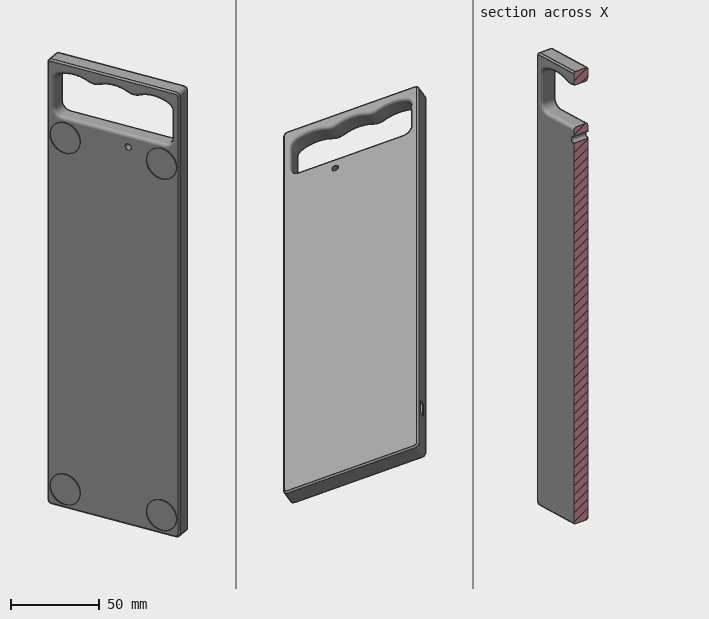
import cadquery as cq
import math

width = 85.6
thickness = 10.5
height = 285.5
corner_radius = 2.9
edge_chamfer = 1.0
front_y = -thickness / 2

opening_half_width = 38.0
opening_floor_z = 107.5
opening_top_z = 136.2
opening_corner_radius = 5.0
opening_fillet = 2.0
finger_radius = 22.8
finger_spacing = 25.7
ridge_radius = 8.5

pad_diameter = 19.5
pad_depth = 0.43
pad_x = 31.0
upper_pad_z = 94.8
lower_pad_z = -130.8

pin_hole_diameter = 4.0
pin_hole_x = 9.7
pin_hole_z = 100.0

switch_y = 0.5
switch_z = -109.3
switch_width = 3.7
switch_height = 9.5
switch_depth = 5.7
shelf_depth = 0.3
shelf_width = 0.9
switch_corner_radius = 0.77
knob_radius = 2.0
knob_z = switch_z + switch_height / 2 - knob_radius


def make_plate():
    """Plate standing in the XZ plane, with rounded corners and chamfered rims."""
    plate = cq.Workplane("XY").box(width, thickness, height)
    plate = plate.edges("|Y").fillet(corner_radius)
    return plate.faces("<Y or >Y").edges().chamfer(edge_chamfer)


def opening_outline():
    """Handle opening: flat floor, rounded corners and three finger scallops above."""
    finger_center_z = opening_top_z - finger_radius
    ridge_center_z = finger_center_z + math.sqrt(
        (finger_radius + ridge_radius) ** 2 - (finger_spacing / 2) ** 2
    )
    ridge_bottom_z = ridge_center_z - ridge_radius

    blend_share = finger_radius / (finger_radius + ridge_radius)
    blend_x = finger_spacing / 2 * blend_share
    blend_z = finger_center_z + (ridge_center_z - finger_center_z) * blend_share

    corner_x = opening_half_width - opening_corner_radius
    center_distance = finger_radius - opening_corner_radius
    corner_z = finger_center_z + math.sqrt(center_distance**2 - (corner_x - finger_spacing) ** 2)
    scallop_angle = math.atan2(corner_z - finger_center_z, corner_x - finger_spacing)
    scallop_end_x = finger_spacing + finger_radius * math.cos(scallop_angle)
    scallop_end_z = finger_center_z + finger_radius * math.sin(scallop_angle)
    corner_mid_x = corner_x + opening_corner_radius * math.cos(scallop_angle / 2)
    corner_mid_z = corner_z + opening_corner_radius * math.sin(scallop_angle / 2)

    lower_z = opening_floor_z + opening_corner_radius
    diagonal = opening_corner_radius * math.sqrt(0.5)

    return (
        cq.Workplane("XZ", origin=(0, thickness / 2, 0))
        .moveTo(-corner_x, opening_floor_z)
        .lineTo(corner_x, opening_floor_z)
        .threePointArc((corner_x + diagonal, lower_z - diagonal), (opening_half_width, lower_z))
        .lineTo(opening_half_width, corner_z)
        .threePointArc((corner_mid_x, corner_mid_z), (scallop_end_x, scallop_end_z))
        .threePointArc((finger_spacing, opening_top_z), (finger_spacing - blend_x, blend_z))
        .threePointArc((finger_spacing / 2, ridge_bottom_z), (blend_x, blend_z))
        .threePointArc((0, opening_top_z), (-blend_x, blend_z))
        .threePointArc((-finger_spacing / 2, ridge_bottom_z), (blend_x - finger_spacing, blend_z))
        .threePointArc((-finger_spacing, opening_top_z), (-scallop_end_x, scallop_end_z))
        .threePointArc((-corner_mid_x, corner_mid_z), (-opening_half_width, corner_z))
        .lineTo(-opening_half_width, lower_z)
        .threePointArc((-corner_x - diagonal, lower_z - diagonal), (-corner_x, opening_floor_z))
        .close()
    )


def cut_opening(plate):
    """Cut the handle opening and round its rim on both faces."""
    plate = plate.cut(opening_outline().extrude(thickness))
    margin = opening_fillet / 2
    rim = cq.selectors.BoxSelector(
        (-opening_half_width - margin, -thickness, opening_floor_z - margin),
        (opening_half_width + margin, thickness, opening_top_z + margin),
    )
    return plate.faces("<Y or >Y").edges(rim).fillet(opening_fillet)


def make_pad_recesses():
    """Four shallow discs that open on the -Y face."""
    centers = [(x, z) for x in (-pad_x, pad_x) for z in (lower_pad_z, upper_pad_z)]
    return (
        cq.Workplane("XZ", origin=(0, front_y + pad_depth, 0))
        .pushPoints(centers)
        .circle(pad_diameter / 2)
        .extrude(pad_depth)
    )


def make_pin_hole():
    """Round hole through the whole thickness."""
    return (
        cq.Workplane("XZ", origin=(pin_hole_x, thickness / 2, pin_hole_z))
        .circle(pin_hole_diameter / 2)
        .extrude(thickness)
    )


def make_switch_pocket():
    """Rounded recess, deepened beside a shelf on its -Y side, less a round knob in the upper half."""
    outer_x = -width / 2
    inner_x = outer_x + switch_depth
    inner_width = switch_width - shelf_width
    inner_y = switch_y + shelf_width / 2
    recess = (
        cq.Workplane("XY")
        .box(shelf_depth, switch_width, switch_height)
        .edges("|X")
        .fillet(switch_corner_radius)
        .translate((outer_x + shelf_depth / 2, switch_y, switch_z))
    )
    pocket = (
        cq.Workplane("XY")
        .box(switch_depth, inner_width, switch_height)
        .edges("|X and >Y")
        .fillet(switch_corner_radius)
        .translate((outer_x + switch_depth / 2, inner_y, switch_z))
    )
    knob = (
        cq.Workplane("XZ", origin=(inner_x, inner_y + inner_width / 2, knob_z))
        .circle(knob_radius)
        .extrude(inner_width)
    )
    return recess.union(pocket).cut(knob)


result = cut_opening(make_plate())
result = result.cut(make_pad_recesses()).cut(make_pin_hole()).cut(make_switch_pocket())